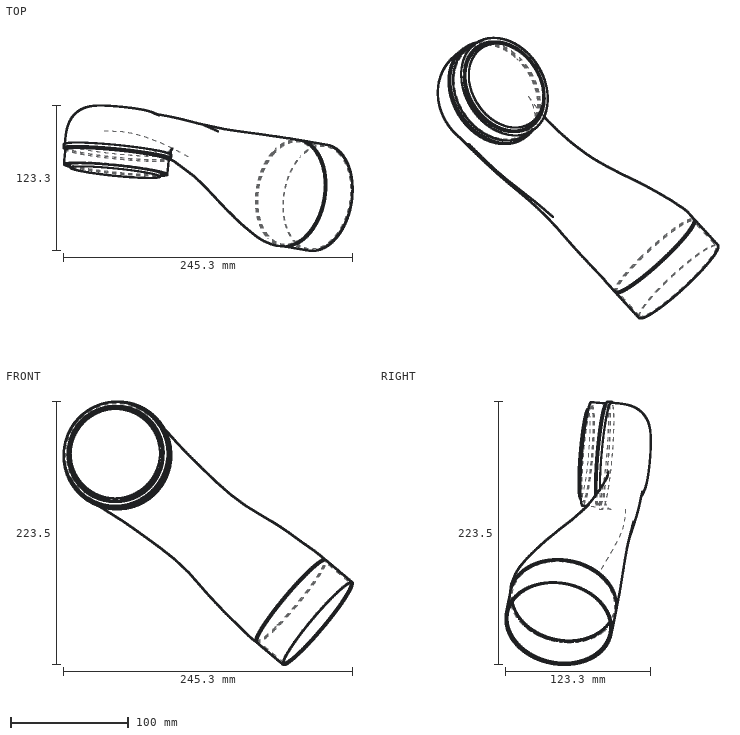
import cadquery as cq
import math


ARM_DROP = 40.0
HEAD_TILT = 7.5

HEAD_RADIUS = 45.1
HEAD_DEPTH = 35.0
SHOULDER_RADIUS = 43.5
SHOULDER_DEPTH = 18.5
BACK_FLAT_RADIUS = 17.7

FLANGE_RADIUS = 45.9
FLANGE_HEIGHT = 3.0
NECK_RADIUS = 44.1
NECK_HEIGHT = 12.5
NECK_GROOVE_RADIUS = 43.0
NECK_GROOVE_HEIGHT = 1.5
CAP_SEAT_RADIUS = 41.0
CAP_SEAT_DEPTH = 1.0
CAP_RADIUS = 39.7
CAP_FACE_RADIUS = 38.0
CAP_EDGE_HEIGHT = CAP_SEAT_DEPTH
CAP_HEIGHT = 3.5
NECK_FOOT_Z = FLANGE_HEIGHT + NECK_GROOVE_HEIGHT
NECK_TOP_Z = NECK_FOOT_Z + NECK_HEIGHT
CAP_SEAT_Z = NECK_TOP_Z - CAP_SEAT_DEPTH

CROTCH_FILLET = 7.4

COLLAR_RADIUS = 45.5
COLLAR_AXIS_Z = 11.5
COLLAR_LENGTH = 29.5
COLLAR_WALL = 1.7
COLLAR_LEAD_IN = 1.0
SEAL_WIDTH = 1.2
SEAL_INSET = 0.7
COLLAR_END_X = 225.0
COLLAR_START_X = COLLAR_END_X - COLLAR_LENGTH
ARM_END_X = COLLAR_START_X - SEAL_WIDTH

ARM_SECTIONS = [
    (0.0, -6.1, -34.3, 41.2),
    (29.5, -4.5, -34.8, 40.7),
    (61.3, -3.2, -34.0, 37.8),
    (90.7, 6.9, -32.5, 36.3),
    (114.0, 18.6, -32.4, 37.8),
    (135.0, 31.5, -32.9, 41.0),
    (159.5, 46.4, -33.5, 43.7),
    (179.0, 55.7, -34.0, 45.1),
    (ARM_END_X, COLLAR_AXIS_Z + COLLAR_RADIUS, COLLAR_AXIS_Z - COLLAR_RADIUS, COLLAR_RADIUS),
]


def cross_plane(x, z=0.0):
    """Plane square to the arm at x, with its own x axis pointing to the front."""
    return cq.Plane(origin=(x, 0, z), xDir=(0, 0, 1), normal=(1, 0, 0))


def disc(radius, bottom, height):
    return cq.Workplane("XY").workplane(offset=bottom).circle(radius).extrude(height)


def make_head():
    """Round head with a slightly tapered side and a domed back."""
    return (
        cq.Workplane("XZ")
        .lineTo(HEAD_RADIUS, 0)
        .spline(
            [(SHOULDER_RADIUS, -SHOULDER_DEPTH), (BACK_FLAT_RADIUS, -HEAD_DEPTH)],
            tangents=[(0, -1), (-1, 0)],
            includeCurrent=True,
        )
        .lineTo(0, -HEAD_DEPTH)
        .close()
        .revolve(360, (0, 0, 0), (0, 1, 0))
    )


def make_arm():
    """Head and swelling arm in one piece, blended where the arm leaves the side of the head."""
    wires = []
    for x, front, back, half_width in ARM_SECTIONS:
        plane = cross_plane(x, (front + back) / 2)
        section = cq.Workplane(plane).ellipse((front - back) / 2, half_width)
        wires.append(section.val())
    limb = cq.Workplane(cq.Solid.makeLoft(wires))
    joint_line = cq.selectors.BoxSelector(
        (0, -HEAD_RADIUS, CROTCH_FILLET - HEAD_DEPTH),
        (HEAD_RADIUS + CROTCH_FILLET, HEAD_RADIUS, -CROTCH_FILLET),
    )
    return make_head().union(limb).edges(joint_line).fillet(CROTCH_FILLET)


def make_flange():
    return disc(FLANGE_RADIUS, 0, FLANGE_HEIGHT)


def make_neck():
    """Neck with a narrow groove at its foot and a shallow round seat for the cap."""
    foot = disc(NECK_GROOVE_RADIUS, FLANGE_HEIGHT, NECK_GROOVE_HEIGHT)
    barrel = disc(NECK_RADIUS, NECK_FOOT_Z, NECK_HEIGHT)
    seat = disc(CAP_SEAT_RADIUS, CAP_SEAT_Z, CAP_SEAT_DEPTH)
    return foot.union(barrel).cut(seat)


def make_cap():
    """Disc in the seat of the neck, with a sloping rim and a narrow gap around it."""
    top = CAP_SEAT_Z + CAP_HEIGHT
    return (
        cq.Workplane("XZ")
        .moveTo(0, CAP_SEAT_Z)
        .lineTo(CAP_RADIUS, CAP_SEAT_Z)
        .lineTo(CAP_RADIUS, CAP_SEAT_Z + CAP_EDGE_HEIGHT)
        .lineTo(CAP_FACE_RADIUS, top)
        .lineTo(0, top)
        .close()
        .revolve(360, (0, 0, 0), (0, 1, 0))
    )


def make_ring(start_x, outer_radius, length):
    """Ring on the collar axis with the bore of the collar."""
    plane = cross_plane(start_x, COLLAR_AXIS_Z)
    return cq.Workplane(plane).circle(outer_radius).circle(COLLAR_RADIUS - COLLAR_WALL).extrude(length)


def make_collar():
    """Open tube with a chamfered mouth."""
    tube = make_ring(COLLAR_START_X, COLLAR_RADIUS, COLLAR_LENGTH)
    bore_mouth = cq.selectors.RadiusNthSelector(0)
    return tube.faces(">X").edges(bore_mouth).chamfer(COLLAR_LEAD_IN)


def link_pose():
    drop = math.radians(ARM_DROP)
    tilt = math.radians(HEAD_TILT)
    along_arm = (math.cos(tilt) * math.cos(drop), -math.sin(tilt), -math.cos(tilt) * math.sin(drop))
    out_of_head = (-math.sin(tilt) * math.cos(drop), -math.cos(tilt), math.sin(tilt) * math.sin(drop))
    return cq.Location(cq.Plane(origin=(0, 0, 0), xDir=along_arm, normal=out_of_head))


arm = make_arm()
flange = make_flange()
neck = make_neck()
cap = make_cap()
seal = make_ring(ARM_END_X, COLLAR_RADIUS - SEAL_INSET, SEAL_WIDTH)
collar = make_collar()

bodies = [arm, flange, neck, cap, seal, collar]
pose = link_pose()
result = cq.Compound.makeCompound([body.solids().val().moved(pose) for body in bodies])